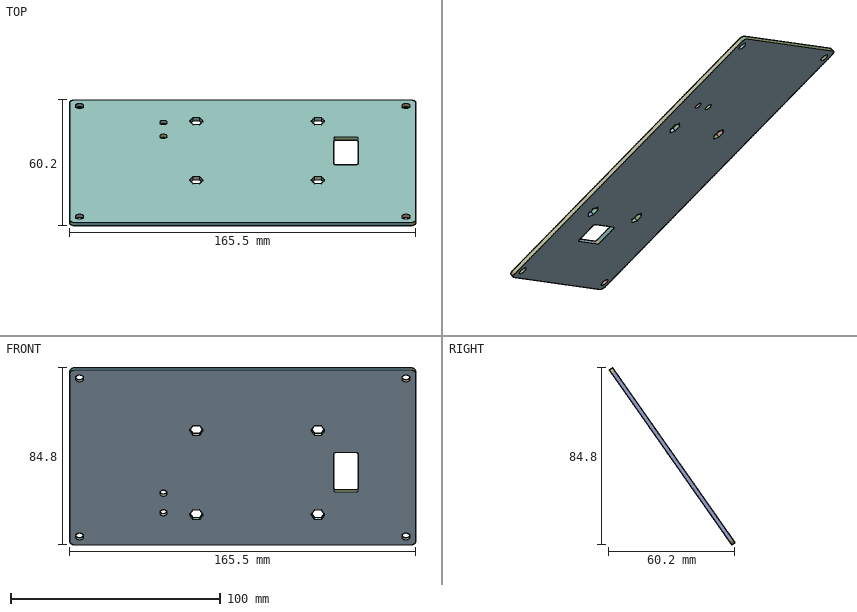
import cadquery as cq
import math

plate_width = 165.5
plate_length = 102.1
plate_thickness = 2.0
corner_radius = 2.5
tilt = math.radians(55)

screw_diameter = 4.0
side_inset = 4.8
end_inset = 5.0
screw_x = plate_width / 2 - side_inset
screw_y = plate_length / 2 - end_inset

mount_sides = 6
mount_across_corners = 6.5
mount_columns = (-22.2, 36.0)
mount_rows = (15.7, -33.5)

small_diameter = 3.5
small_x = -37.9
small_rows = (-20.9, -32.3)

window_width = 11.6
window_height = 23.0
window_radius = 1.0
window_center = (49.3, -8.6)

slope_plane = cq.Plane(
    origin=(0, 0, 0),
    xDir=(1, 0, 0),
    normal=(0, -math.sin(tilt), -math.cos(tilt)),
)


def rounded_block(width, height, radius, center=(0, 0)):
    """Plate-thick block on the slope with rounded corners."""
    block = cq.Workplane(slope_plane).center(*center).rect(width, height)
    block = block.extrude(plate_thickness / 2, both=True)
    edge_direction = cq.selectors.ParallelDirSelector(slope_plane.zDir)
    return block.edges(edge_direction).fillet(radius)


def pattern(columns, rows):
    """Slope workplane with a point at every column and row crossing."""
    points = [(x, y) for x in columns for y in rows]
    return cq.Workplane(slope_plane).pushPoints(points)


def round_cutters(diameter, columns, rows):
    """Round pins square to the plate."""
    return pattern(columns, rows).circle(diameter / 2).extrude(plate_thickness, both=True)


def hexagon_cutters(across_corners, columns, rows):
    """Six-sided pins square to the plate."""
    outline = pattern(columns, rows).polygon(mount_sides, across_corners)
    return outline.extrude(plate_thickness, both=True)


plate = rounded_block(plate_width, plate_length, corner_radius)
plate = plate.cut(rounded_block(window_width, window_height, window_radius, window_center))
plate = plate.cut(round_cutters(screw_diameter, (-screw_x, screw_x), (-screw_y, screw_y)))
plate = plate.cut(hexagon_cutters(mount_across_corners, mount_columns, mount_rows))
plate = plate.cut(round_cutters(small_diameter, (small_x,), small_rows))

result = plate